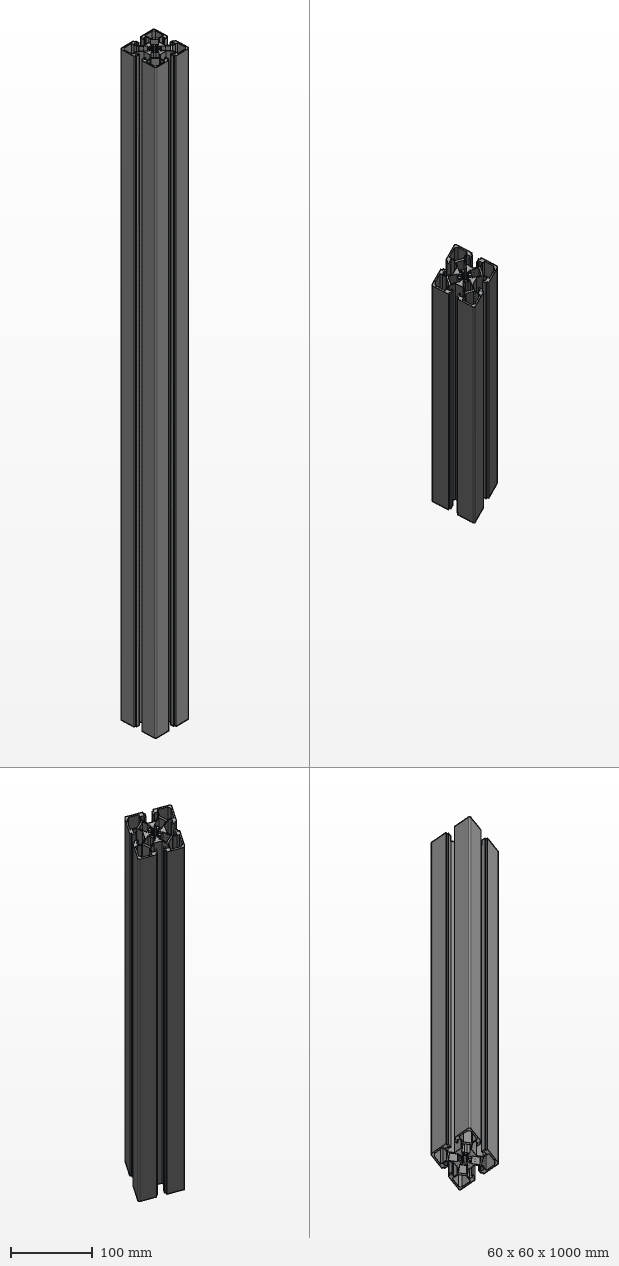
import cadquery as cq
import math

length = 1000.0
side = 60.0
half = side / 2
corner_radius = 2.0

mouth_width = 13.0
mouth_depth = 2.5
neck_width = 9.0
lip_depth = 7.5
lip_hook = 2.0
pocket_width = 22.0
pocket_roof_depth = 5.0
slot_depth = 16.0
floor_width = 10.0
taper = (pocket_width - floor_width) / 2
pocket_wall_depth = slot_depth - taper

outer_wall = 2.0
slot_wall = 1.0
outer_chamfer = 3.0
inner_chamfer = 7.0

web_hollow_distance = 14.0
web_hollow_length = 11.0
web_hollow_width = 10.0

groove_count = 8
bore_radius = 4.5
groove_radius = 8.0
groove_pitch = 360 / groove_count
groove_angle = groove_pitch / 2


def prism(points):
    """Full-length prism over a closed outline."""
    return cq.Workplane("XY").polyline(points).close().extrude(length)


def slot():
    """T-slot in the +Y side: mouth, neck between hooked lips, pocket tapering at 45 degrees to the floor."""
    hook_edge = neck_width / 2 + lip_hook
    half_profile = [
        (mouth_width / 2, 0),
        (mouth_width / 2, mouth_depth),
        (neck_width / 2, mouth_depth),
        (neck_width / 2, lip_depth),
        (hook_edge, lip_depth),
        (hook_edge, pocket_roof_depth),
        (pocket_width / 2, pocket_roof_depth),
        (pocket_width / 2, pocket_wall_depth),
        (floor_width / 2, slot_depth),
    ]
    right_points = [(across, half - depth) for across, depth in half_profile]
    left_points = [(-x, y) for x, y in reversed(right_points)]
    return prism(right_points + left_points)


def corner_hollow():
    """Square hollow in the +X +Y corner, chamfered at both ends of its diagonal."""
    near = pocket_width / 2 + slot_wall
    far = half - outer_wall
    return prism([
        (near + inner_chamfer, near),
        (far, near),
        (far, far - outer_chamfer),
        (far - outer_chamfer, far),
        (near, far),
        (near, near + inner_chamfer),
    ])


def web_hollow():
    """Rectangular hollow on the +X +Y diagonal."""
    hollow = cq.Workplane("XY").center(web_hollow_distance, 0).rect(web_hollow_length, web_hollow_width)
    return hollow.extrude(length).rotate((0, 0, 0), (0, 0, 1), 45)


def grooved_bore():
    """Bore with straight-sided grooves, placed evenly either side of the X and Y axes."""
    points = []
    for groove in range(groove_count):
        middle = (groove + 0.5) * groove_pitch
        start = math.radians(middle - groove_angle / 2)
        end = math.radians(middle + groove_angle / 2)
        for radius, angle in (
            (bore_radius, start),
            (groove_radius, start),
            (groove_radius, end),
            (bore_radius, end),
        ):
            points.append((radius * math.cos(angle), radius * math.sin(angle)))
    return prism(points)


bar = cq.Workplane("XY").rect(side, side).extrude(length)
result = bar.edges("|Z").fillet(corner_radius)
for cutter in (slot(), corner_hollow(), web_hollow()):
    for quarter in range(4):
        result = result.cut(cutter.rotate((0, 0, 0), (0, 0, 1), 90 * quarter))
result = result.cut(grooved_bore())